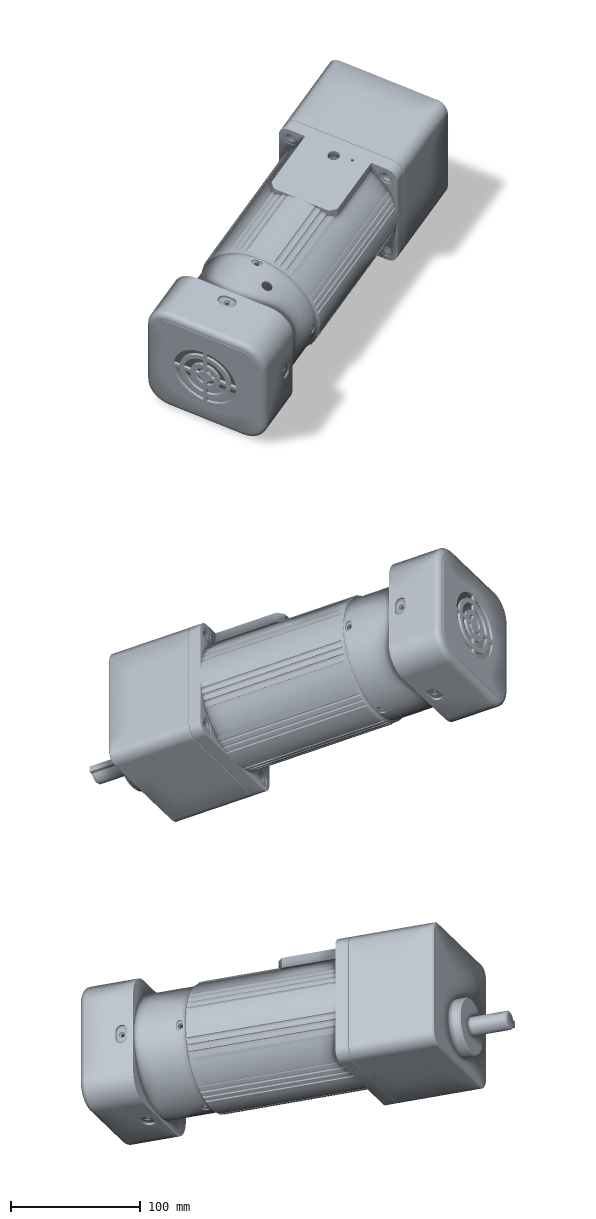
import cadquery as cq
import math


side = 104.0
half_side = side / 2
corner_radius = 9.5
joint_chamfer = 0.75

cover_end = 46.0
drum_end = 80.0
stator_start = 88.3
flange_start = 215.5
gearbox_start = 226.3
gearbox_end = 298.0
boss_end = 308.0
shaft_end = 340.0

output_drop = 20.0
case_chamfer = 1.0
boss_diameter = 46.0
boss_chamfer = 1.0
shaft_diameter = 15.0
shaft_chamfer = 1.0
key_width = 5.0
key_length = 25.0
key_projection = 2.5

stator_radius = half_side
relief_radius = 51.0
ribbed_half_angle = 31.4
stator_end_chamfer = 2.0
groove_radius = 1.0
groove_angles = [14.3, 20.2, 26.3]

flange_hole_diameter = 8.5
flange_hole_offset = 42.0
spotface_diameter = 12.5
spotface_depth = 1.0
tongue_width = 58.0
tongue_bottom = 43.5
tongue_start = 156.2
tongue_chamfer = 4.8
cable_hole_diameter = 9.5
cable_hole_y = 208.3
pin_hole_diameter = 2.5
pin_hole_x = 15.0
pin_hole_y = 211.0
tongue_hole_depth = 6.0

drum_radius = 49.5
drum_wall = 1.5
drum_hole_diameter = 8.5
drum_hole_x = 17.0
drum_hole_y = 69.0
cap_slot_length = 9.5
cap_slot_width = 5.5
cap_slot_depth = 1.5
cap_slot_y = 84.0
cap_screw_diameter = 4.5
cap_screw_depth = 3.0
cap_core_diameter = 3.0
cap_core_depth = 8.0

cover_corner_radius = 20.0
cover_fillet = 5.0
cover_wall = 5.0
cover_front_wall = 2.0
panel_margin = 6.0
panel_height = 0.4
plug_start = 33.0
cover_slot_length = 15.5
cover_slot_width = 9.5
cover_slot_depth = 2.0
cover_slot_y = 36.0
cover_screw_diameter = 5.5
cover_screw_depth = 3.0
cover_core_diameter = 3.0

grille_rings = [(5.7, 8.7), (13.0, 18.5), (22.5, 27.3)]
spoke_width = 3.0
grille_hub_chamfer = 0.4


def plane_at(y):
    """Work plane facing +Y, with local x along Z and local y along X."""
    return cq.Workplane(cq.Plane(origin=(0, y, 0), xDir=(0, 0, 1), normal=(0, 1, 0)))


def square_block(start, end, radius, width=side):
    """Rounded square prism on the motor axis."""
    return plane_at(start).rect(width, width).extrude(end - start).edges("|Y").fillet(radius)


def disc(start, end, radius, z=0.0):
    """Round bar along Y, centred at height z."""
    return plane_at(start).center(z, 0).circle(radius).extrude(end - start)


def drill_down(x, y, diameter, top, depth):
    """Cutter for a round hole going down from height top."""
    return cq.Workplane("XY", origin=(x, y, top)).circle(diameter / 2).extrude(-depth)


def slot_down(y, length, width, top, depth):
    """Cutter for a slot across the top centre line, going down from height top."""
    return cq.Workplane("XY", origin=(0, y, top)).slot2D(length, width).extrude(-depth)


def on_four_sides(cutter):
    """The cutter copied to all four sides of the motor axis."""
    copies = cutter
    for quarter in range(1, 4):
        copies = copies.add(cutter.val().rotate((0, 0, 0), (0, 1, 0), 90 * quarter))
    return copies.combine()


def make_gearbox():
    """Gear case with its offset boss, keyed output shaft and key."""
    case = square_block(gearbox_start, gearbox_end, corner_radius)
    case = case.faces("<Y").chamfer(joint_chamfer).faces(">Y").chamfer(case_chamfer)
    boss = disc(gearbox_end, boss_end, boss_diameter / 2, -output_drop).faces(">Y").chamfer(boss_chamfer)
    shaft = disc(boss_end, shaft_end, shaft_diameter / 2, -output_drop).faces(">Y").chamfer(shaft_chamfer)
    key_height = shaft_diameter / 2 + key_projection
    key = cq.Workplane("XY").box(key_height, key_length, key_width, centered=(False, False, True))
    key = key.translate((-key_height, shaft_end - key_length, -output_drop))
    return case.union(boss).union(shaft).union(key)


def make_relief(angle):
    """Cutter that lowers one plain strip of the stator, centred at an angle from the top."""
    half_spread = math.radians(45 - ribbed_half_angle)
    across = side * math.tan(half_spread)
    wedge = plane_at(stator_start).polyline([(0, 0), (side, -across), (side, across)]).close()
    wedge = wedge.extrude(flange_start - stator_start)
    wedge = wedge.cut(disc(stator_start, flange_start, relief_radius))
    return wedge.rotate((0, 0, 0), (0, 1, 0), angle)


def make_groove(angle):
    """Cutter for one lengthwise round-bottomed groove, at an angle from the top."""
    groove = disc(stator_start, flange_start, groove_radius, stator_radius)
    return groove.rotate((0, 0, 0), (0, 1, 0), angle)


def make_stator():
    """Round stator with four ribbed strips and four plain, lowered strips."""
    stator = disc(stator_start, flange_start, stator_radius).faces("<Y").chamfer(stator_end_chamfer)
    for quarter in range(4):
        stator = stator.cut(make_relief(45 + 90 * quarter))
        for groove_angle in groove_angles:
            stator = stator.cut(make_groove(90 * quarter + groove_angle))
            stator = stator.cut(make_groove(90 * quarter - groove_angle))
    return stator


def corner_bars(start, end, diameter):
    """Round bars along Y on the four flange hole centres."""
    spacing = 2 * flange_hole_offset
    centres = plane_at(start).rect(spacing, spacing, forConstruction=True).vertices()
    return centres.circle(diameter / 2).extrude(end - start)


def make_flange():
    """Square flange with four spotfaced mounting holes."""
    flange = square_block(flange_start, gearbox_start, corner_radius).faces(">Y").chamfer(joint_chamfer)
    flange = flange.cut(corner_bars(flange_start, gearbox_start, flange_hole_diameter))
    return flange.cut(corner_bars(flange_start, flange_start + spotface_depth, spotface_diameter))


def make_tongue():
    """Flat terminal tongue reaching back from the flange over the stator."""
    tongue = cq.Workplane("XY").box(
        tongue_width, flange_start - tongue_start, half_side - tongue_bottom, centered=(True, False, False)
    )
    tongue = tongue.translate((0, tongue_start, tongue_bottom))
    return tongue.edges("|Z and <Y").chamfer(tongue_chamfer)


def make_motor():
    """Flange, tongue, ribbed stator and round rear cap."""
    motor = make_stator().union(make_flange()).union(make_tongue())
    motor = motor.union(disc(drum_end, stator_start, drum_radius))
    motor = motor.cut(drill_down(0, cable_hole_y, cable_hole_diameter, half_side, tongue_hole_depth))
    motor = motor.cut(drill_down(pin_hole_x, pin_hole_y, pin_hole_diameter, half_side, tongue_hole_depth))
    fastening = slot_down(cap_slot_y, cap_slot_length, cap_slot_width, drum_radius, cap_slot_depth)
    fastening = fastening.union(drill_down(0, cap_slot_y, cap_screw_diameter, drum_radius, cap_screw_depth))
    fastening = fastening.union(drill_down(0, cap_slot_y, cap_core_diameter, drum_radius, cap_core_depth))
    return motor.cut(on_four_sides(fastening))


def make_cover_screw_holes():
    """Cutter for the cross drilling shared by the fan cover and the drum plug."""
    return on_four_sides(drill_down(0, cover_slot_y, cover_core_diameter, half_side, half_side))


def square_core(start):
    """Rounded square filling the inside of the fan cover from start to its open end."""
    return square_block(start, cover_end, cover_corner_radius - cover_wall, side - 2 * cover_wall)


def make_drum():
    """Thin tube with one hole on top, closed by a square plug inside the fan cover."""
    drum = disc(cover_end, drum_end, drum_radius).cut(disc(cover_end, drum_end, drum_radius - drum_wall))
    drum = drum.cut(drill_down(drum_hole_x, drum_hole_y, drum_hole_diameter, drum_radius, drum_radius))
    return drum.union(square_core(plug_start)).cut(make_cover_screw_holes())


def make_grille():
    """Cutter for the ring-shaped air slots, interrupted by a cross of spokes."""
    rings = cq.Workplane("XY")
    for inner, outer in grille_rings:
        rings = rings.add(plane_at(0).circle(outer).circle(inner).extrude(cover_front_wall))
    cross = plane_at(0).rect(side, spoke_width).extrude(cover_front_wall)
    cross = cross.union(plane_at(0).rect(spoke_width, side).extrude(cover_front_wall))
    return rings.combine().cut(cross)


def make_cover():
    """Hollow fan cover with a raised front panel, an air grille and side fastening slots."""
    cover = square_block(panel_height, cover_end, cover_corner_radius)
    cover = cover.faces("<Y").edges().fillet(cover_fillet)
    panel_radius = cover_corner_radius - panel_margin
    cover = cover.union(square_block(0, panel_height, panel_radius, side - 2 * panel_margin))
    cover = cover.cut(square_core(cover_front_wall))
    cover = cover.cut(make_grille())
    hub = disc(0, cover_front_wall, grille_rings[0][0])
    cover = cover.cut(hub).union(hub.faces("<Y").chamfer(grille_hub_chamfer))
    fastening = slot_down(cover_slot_y, cover_slot_length, cover_slot_width, half_side, cover_slot_depth)
    screw_seat = drill_down(0, cover_slot_y, cover_screw_diameter, half_side, cover_screw_depth)
    fastening = fastening.union(screw_seat)
    return cover.cut(on_four_sides(fastening)).cut(make_cover_screw_holes())


gearbox = make_gearbox()
motor = make_motor()
drum = make_drum()
cover = make_cover()

result = cq.Compound.makeCompound([gearbox.val(), motor.val(), drum.val(), cover.val()])